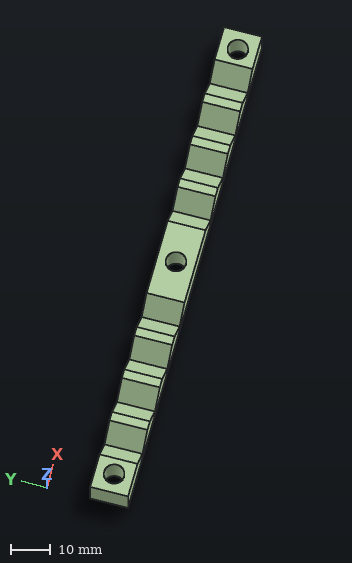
import cadquery as cq

LENGTH = 130.0
WIDTH = 10.0
HEIGHT = 8.0

GROOVE_DEPTH = 4.8
GROOVE_HALF_WIDTH = GROOVE_DEPTH
GROOVE_PITCH = 12.0
GROOVES_PER_SIDE = 4
FIRST_GROOVE_X = 15.0

HOLE_DIAMETER = 5.2
HOLE_END_MARGIN = 5.0


def make_bar():
    return cq.Workplane("XY").box(LENGTH, WIDTH, HEIGHT, centered=(True, True, False))


def make_groove_cutter(x):
    """Triangular prism across the full width, with its tip pointing down at x."""
    return (
        cq.Workplane("XZ")
        .moveTo(x - GROOVE_HALF_WIDTH, HEIGHT)
        .lineTo(x, HEIGHT - GROOVE_DEPTH)
        .lineTo(x + GROOVE_HALF_WIDTH, HEIGHT)
        .close()
        .extrude(WIDTH / 2, both=True)
    )


def cut_grooves(bar):
    for index in range(GROOVES_PER_SIDE):
        x = FIRST_GROOVE_X + index * GROOVE_PITCH
        bar = bar.cut(make_groove_cutter(x)).cut(make_groove_cutter(-x))
    return bar


def drill_holes(bar):
    end_hole_x = LENGTH / 2 - HOLE_END_MARGIN
    hole_centers = [(-end_hole_x, 0), (0, 0), (end_hole_x, 0)]
    holes = cq.Workplane("XY").pushPoints(hole_centers).circle(HOLE_DIAMETER / 2).extrude(HEIGHT)
    return bar.cut(holes)


result = drill_holes(cut_grooves(make_bar()))